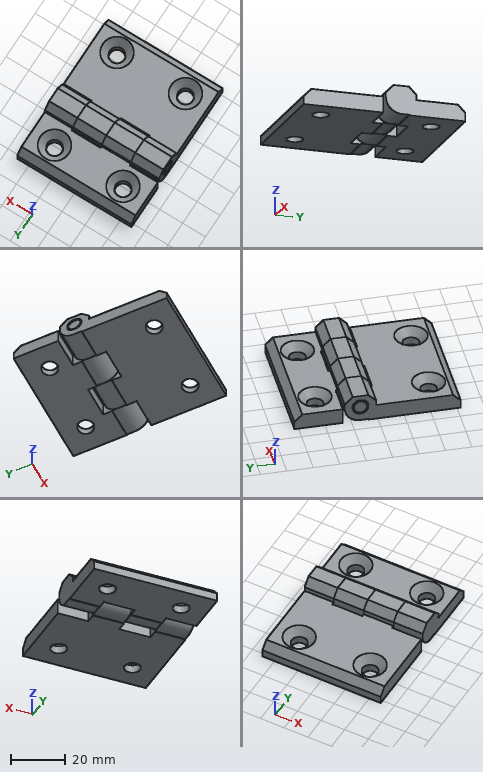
import cadquery as cq
import math

width = 50.0
length = 63.0
plate_thickness = 6.25
edge_chamfer = 2.95

pivot_y = 6.5
pivot_z = plate_thickness
knuckle_radius = 6.0
knuckle_top = 11.2
knuckle_chamfer = 3.0
relief_half_width = 3.0
outer_knuckle_width = 12.35
pin_diameter = 6.0
pin_chamfer = 0.5

rear_plate_edge = 13.15
front_plate_edge = -0.55

hole_x = 15.0
hole_y = 21.5
hole_diameter = 6.3
sink_diameter = 12.4
sink_angle = 90

left_end = -width / 2
right_end = width / 2
left_joint = left_end + outer_knuckle_width
right_joint = right_end - outer_knuckle_width
front_spans = [(left_end, left_joint), (0, right_joint)]
rear_spans = [(left_joint, 0), (right_joint, right_end)]


def make_plate(side, inner_edge):
    """Plate with a bevelled outer edge; side is +1 towards +Y, -1 towards -Y."""
    outer_edge = side * length / 2
    return (
        cq.Workplane("YZ", origin=(left_end, 0, 0))
        .moveTo(inner_edge, 0)
        .lineTo(outer_edge, 0)
        .lineTo(outer_edge, plate_thickness - edge_chamfer)
        .lineTo(outer_edge - side * edge_chamfer, plate_thickness)
        .lineTo(inner_edge, plate_thickness)
        .close()
        .extrude(width)
    )


def make_knuckle(side, inner_edge, span):
    """Barrel segment with the web that carries it from the plate."""
    start, end = span
    near = pivot_y + side * knuckle_radius
    far = pivot_y - side * knuckle_radius
    relief_edge = pivot_y + side * relief_half_width
    relief_z = pivot_z - knuckle_radius
    shoulder_z = knuckle_top - knuckle_chamfer
    arc_reach = knuckle_radius * math.cos(math.radians(45))
    return (
        cq.Workplane("YZ", origin=(start, 0, 0))
        .moveTo(inner_edge, 0)
        .lineTo(relief_edge, 0)
        .lineTo(relief_edge, relief_z)
        .lineTo(pivot_y, relief_z)
        .threePointArc((pivot_y - side * arc_reach, pivot_z - arc_reach), (far, pivot_z))
        .lineTo(far, shoulder_z)
        .lineTo(far + side * knuckle_chamfer, knuckle_top)
        .lineTo(near - side * knuckle_chamfer, knuckle_top)
        .lineTo(near, shoulder_z)
        .lineTo(near, plate_thickness)
        .lineTo(inner_edge, plate_thickness)
        .close()
        .extrude(end - start)
    )


def make_leaf(side, inner_edge, spans):
    """One hinge leaf: plate, two knuckles and two countersunk holes."""
    leaf = make_plate(side, inner_edge)
    for span in spans:
        leaf = leaf.union(make_knuckle(side, inner_edge, span))
    return (
        leaf.copyWorkplane(cq.Workplane("XY", origin=(0, 0, plate_thickness)))
        .pushPoints([(-hole_x, side * hole_y), (hole_x, side * hole_y)])
        .cskHole(hole_diameter, sink_diameter, sink_angle)
    )


def make_pin_cylinder():
    """Full-width cylinder on the hinge axis."""
    return (
        cq.Workplane("YZ", origin=(left_end, pivot_y, pivot_z))
        .circle(pin_diameter / 2)
        .extrude(width)
    )


front_leaf = make_leaf(-1, front_plate_edge, front_spans).cut(make_pin_cylinder())

pin = make_pin_cylinder().faces("<X").chamfer(pin_chamfer)
rear_leaf = make_leaf(1, rear_plate_edge, rear_spans).union(pin)

result = cq.Compound.makeCompound([front_leaf.val(), rear_leaf.val()])